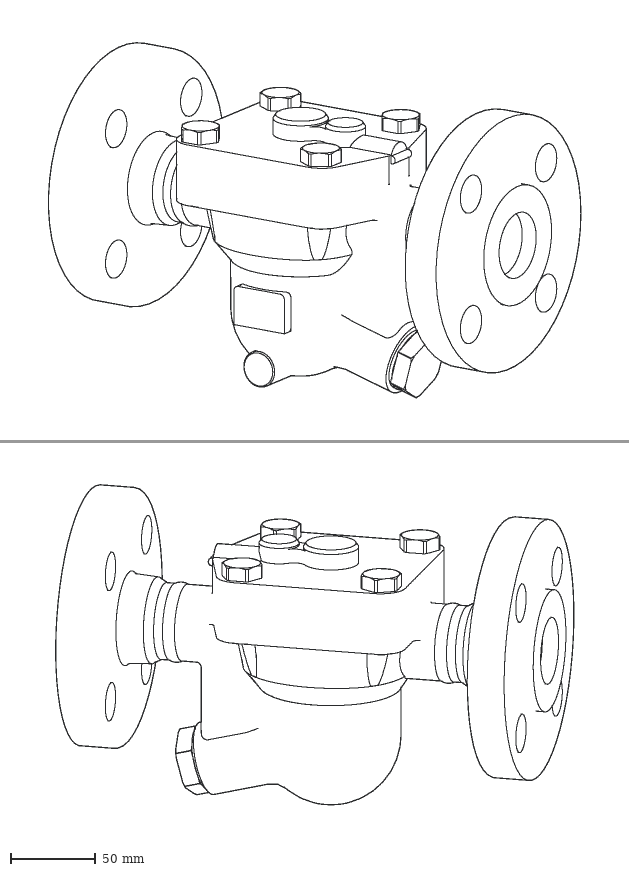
import cadquery as cq
import math


inlet_face_x = -135.0
face_to_face = 290.0
outlet_face_x = inlet_face_x + face_to_face
flange_radius = 78.0
flange_thickness = 23.5
flange_edge_round = 3.0
raised_face_radius = 36.5
raised_face_height = 6.5
raised_face_cove = 1.5
flange_hole_diameter = 23.0
flange_hole_offset = 40.4
port_radius = 20.0
port_depth = 10.0
pipe_radius = 23.0
neck_cove = 1.5
neck_cove_sweep = 5.0
neck_root_radius = 26.8
neck_end_radius = 26.0
neck_root_x = 33.4
neck_end_x = 46.3
neck_step_x = 51.8
bead_start_x = 57.3
bead_end_x = 64.7
bead_height = 1.0

head_half_width = 57.5
head_corner_radius = 15.0
head_right_arc_x = 43.5
head_taper_angle = 19.0
head_nose_x = 70.3
head_bottom_z = 6.8
head_joint_z = 26.8
head_top_z = 44.4
pipe_root_cove = 3.5

bolt_offset = 43.0
bolt_flats = 22.0
bolt_head_height = 8.3
bolt_round_radius = 12.2
bolt_chamfer = 1.2
bolt_chamfer_height = 0.7
hexagon_half_step = 30.0
bolt_groove_radius = 8.7
stud_radius = 7.0
stud_end_z = 4.4

cover_boss_height = 12.0
main_boss_radius = 16.5
side_boss_radius = 12.0
side_boss_x = 32.0
boss_chamfer = 1.6
boss_chamfer_height = 2.4
bridge_top_z = 53.0
bridge_cove = 7.25
channel_radius = 8.8
channel_z = 41.5
nose_bar_radius = 2.4
nose_bar_x = 71.0

bowl_radius = 41.8
bowl_centre_z = -62.5
shoulder_base_z = -32.3
shoulder_z = -19.0
shoulder_half_width = 50.4
shoulder_half_diagonal = 52.5
waist_z = -7.0
waist_half_width = 51.2
waist_half_diagonal = 55.2
waist_top_half_width = 53.4
waist_top_half_diagonal = 58.2

branch_angle = 15.0
branch_radius = 22.0
branch_length = 79.3
branch_cove = 18.0
branch_end_z = bowl_centre_z - branch_length * math.sin(math.radians(branch_angle))
gasket_radius = 19.0
gasket_thickness = 2.2
branch_hex_flats = 36.0
branch_hex_thickness = 10.3
branch_hex_round_radius = 20.7

rib_half_width = 16.5
rib_start_x = 22.0
rib_end_x = 77.0
rib_end_round = 6.0
rib_root_radius = 15.0
rib_root_bottom_z = -72.0
rib_top_cove = 4.0

pad_width = 36.0
pad_top_z = -41.9
pad_bottom_z = -66.0
pad_face_y = -44.7
pad_depth = 7.0
pad_corner_round = 3.0
drain_z = -90.8
drain_radius = 11.0
drain_face_y = -45.4
drain_chamfer = 0.8
drain_root_cove = 2.5

margin = 1.0


def turned_upright(half_profile):
    """Revolve a half-profile drawn on the XZ plane about the vertical axis."""
    return half_profile.close().revolve(360, (0, 0, 0), (0, 1, 0))


def chamfered_post(radius, bottom, top, chamfer, chamfer_height):
    """Upright cylinder with a conical top edge."""
    return turned_upright(
        cq.Workplane("XZ")
        .moveTo(0, bottom)
        .lineTo(radius, bottom)
        .lineTo(radius, top - chamfer_height)
        .lineTo(radius - chamfer, top)
        .lineTo(0, top)
    )


def hexagon_head(flats, height, round_radius):
    """Hexagon prism standing on z = 0 with its top corners turned down."""
    corners = flats / math.cos(math.pi / 6)
    prism = cq.Workplane("XY").polygon(6, corners).extrude(height)
    envelope = chamfered_post(round_radius, 0, height, bolt_chamfer, bolt_chamfer_height)
    return prism.intersect(envelope)


def pipe_end(length):
    """Flanged pipe end along +X, raised face at x = 0, running to x = length."""
    flange_front = raised_face_height
    flange_back = flange_front + flange_thickness
    bead_middle = (bead_start_x + bead_end_x) / 2
    end = (
        cq.Workplane("XY")
        .lineTo(0, raised_face_radius)
        .lineTo(flange_front - raised_face_cove, raised_face_radius)
        .radiusArc((flange_front, raised_face_radius + raised_face_cove), -raised_face_cove)
        .lineTo(flange_front, flange_radius)
        .lineTo(flange_back - flange_edge_round, flange_radius)
        .radiusArc((flange_back, flange_radius - flange_edge_round), flange_edge_round)
        .lineTo(flange_back, neck_root_radius + neck_cove)
        .radiusArc((neck_root_x, neck_root_radius), -neck_cove_sweep)
        .lineTo(neck_end_x, neck_end_radius)
        .lineTo(neck_step_x, pipe_radius)
        .lineTo(bead_start_x, pipe_radius)
        .threePointArc((bead_middle, pipe_radius + bead_height), (bead_end_x, pipe_radius))
        .lineTo(length, pipe_radius)
        .lineTo(length, 0)
        .close()
        .revolve(360, (0, 0, 0), (1, 0, 0))
    )
    bolt_holes = (
        cq.Workplane("YZ")
        .rect(2 * flange_hole_offset, 2 * flange_hole_offset, forConstruction=True)
        .vertices()
        .circle(flange_hole_diameter / 2)
        .extrude(flange_back)
    )
    port = cq.Workplane("YZ").circle(port_radius).extrude(port_depth)
    return end.cut(bolt_holes).cut(port)


def head_block(bottom, top):
    """Plate of the head: square on the inlet side, tapered to a nose on the outlet side."""
    taper = math.radians(head_taper_angle)
    arc_y = head_half_width - head_corner_radius
    arc_end_x = head_right_arc_x + head_corner_radius * math.cos(taper)
    arc_end_y = arc_y + head_corner_radius * math.sin(taper)
    nose_y = arc_end_y - (head_nose_x - arc_end_x) / math.tan(taper)
    mid_angle = (taper + math.pi / 2) / 2
    arc_mid_x = head_right_arc_x + head_corner_radius * math.cos(mid_angle)
    arc_mid_y = arc_y + head_corner_radius * math.sin(mid_angle)
    return (
        cq.Workplane("XY", origin=(0, 0, bottom))
        .moveTo(-head_half_width, -head_half_width)
        .lineTo(head_right_arc_x, -head_half_width)
        .threePointArc((arc_mid_x, -arc_mid_y), (arc_end_x, -arc_end_y))
        .lineTo(head_nose_x, -nose_y)
        .lineTo(head_nose_x, nose_y)
        .lineTo(arc_end_x, arc_end_y)
        .threePointArc((arc_mid_x, arc_mid_y), (head_right_arc_x, head_half_width))
        .lineTo(-head_half_width, head_half_width)
        .close()
        .extrude(top - bottom)
        .edges("|Z and <X")
        .fillet(head_corner_radius)
    )


def pipe_run():
    """Body flange joined to both pipes, with coves where the pipes enter it."""
    inlet = pipe_end(-inlet_face_x).translate((inlet_face_x, 0, 0))
    outlet = pipe_end(outlet_face_x).mirror("YZ").translate((outlet_face_x, 0, 0))
    run = head_block(head_bottom_z, head_joint_z).union(inlet).union(outlet)
    pipe_roots = cq.selectors.BoxSelector(
        (-head_half_width - margin, -pipe_radius - margin, head_bottom_z + margin),
        (head_nose_x + margin, pipe_radius + margin, pipe_radius + margin),
    )
    return run.edges(pipe_roots).fillet(pipe_root_cove)


def boss_bridge():
    """Web between the two cover bosses, with concave sides tangent to both."""
    main_reach = main_boss_radius + bridge_cove
    side_reach = side_boss_radius + bridge_cove
    cove_x = (side_boss_x**2 + main_reach**2 - side_reach**2) / (2 * side_boss_x)
    cove_y = math.sqrt(main_reach**2 - cove_x**2)
    main_x = cove_x * main_boss_radius / main_reach
    main_y = cove_y * main_boss_radius / main_reach
    side_x = side_boss_x + (cove_x - side_boss_x) * side_boss_radius / side_reach
    side_y = cove_y * side_boss_radius / side_reach
    waist_y = cove_y - bridge_cove
    return (
        cq.Workplane("XY", origin=(0, 0, head_joint_z))
        .moveTo(main_x, -main_y)
        .threePointArc((cove_x, -waist_y), (side_x, -side_y))
        .lineTo(side_x, side_y)
        .threePointArc((cove_x, waist_y), (main_x, main_y))
        .close()
        .extrude(bridge_top_z - head_joint_z)
    )


def cover():
    """Cover plate with its bolts, bosses and outlet-side channel."""
    body = head_block(head_joint_z, head_top_z)
    bolt = hexagon_head(bolt_flats, bolt_head_height, bolt_round_radius)
    for x_sign, y_sign in ((-1, -1), (-1, 1), (1, -1), (1, 1)):
        turn = 0 if x_sign == y_sign else hexagon_half_step
        placed = bolt.rotate((0, 0, 0), (0, 0, 1), turn)
        body = body.union(placed.translate((x_sign * bolt_offset, y_sign * bolt_offset, head_top_z)))
    boss_top = head_top_z + cover_boss_height
    main_boss = chamfered_post(main_boss_radius, head_joint_z, boss_top, boss_chamfer, boss_chamfer_height)
    side_boss = chamfered_post(side_boss_radius, head_joint_z, boss_top, boss_chamfer, boss_chamfer_height)
    channel = (
        cq.Workplane("YZ", origin=(side_boss_x, 0, channel_z))
        .circle(channel_radius)
        .extrude(head_nose_x - side_boss_x)
    )
    nose_bar = (
        cq.Workplane("XZ", origin=(nose_bar_x, 0, channel_z))
        .circle(nose_bar_radius)
        .extrude(channel_radius, both=True)
    )
    body = body.union(main_boss).union(side_boss.translate((side_boss_x, 0, 0)))
    return body.union(boss_bridge()).union(channel).union(nose_bar)


def rounded_square(half_width, half_diagonal, z):
    """Smooth closed outline, half_width across the sides and half_diagonal at the corners."""
    corner = half_diagonal * math.sqrt(0.5)
    points = [
        (half_width, 0),
        (corner, corner),
        (0, half_width),
        (-corner, corner),
        (-half_width, 0),
        (-corner, -corner),
        (0, -half_width),
        (corner, -corner),
    ]
    return cq.Wire.assembleEdges(
        [cq.Edge.makeSpline([cq.Vector(x, y, z) for x, y in points], periodic=True)]
    )


def waist():
    """Rounded-square shoulder and neck between the bowl and the head."""
    shoulder_base = rounded_square(bowl_radius, bowl_radius, shoulder_base_z)
    shoulder_top = rounded_square(shoulder_half_width, shoulder_half_diagonal, shoulder_z)
    middle = rounded_square(waist_half_width, waist_half_diagonal, waist_z)
    top = rounded_square(waist_top_half_width, waist_top_half_diagonal, head_bottom_z)
    shoulder = cq.Solid.makeLoft([shoulder_base, shoulder_top], True)
    neck = cq.Solid.makeLoft([shoulder_top, middle, top], False)
    return cq.Workplane(shoulder).union(neck)


def at_bolts(radius, bottom, top):
    """Upright cylinders on the four bolt axes."""
    return (
        cq.Workplane("XY", origin=(0, 0, bottom))
        .rect(2 * bolt_offset, 2 * bolt_offset, forConstruction=True)
        .vertices()
        .circle(radius)
        .extrude(top - bottom)
    )


def relieved_waist():
    """Waist with upright clearance grooves around the bolts."""
    return waist().cut(at_bolts(bolt_groove_radius, shoulder_z, head_bottom_z))


def bowl():
    """Turned lower body: cylinder with a spherical bottom."""
    diagonal = bowl_radius * math.sqrt(0.5)
    return turned_upright(
        cq.Workplane("XZ")
        .moveTo(0, shoulder_base_z)
        .lineTo(bowl_radius, shoulder_base_z)
        .lineTo(bowl_radius, bowl_centre_z)
        .threePointArc((diagonal, bowl_centre_z - diagonal), (0, bowl_centre_z - bowl_radius))
    )


def rib_core(run):
    """Round-cornered upright rib under the outlet pipe, added to the pipe run with a cove."""
    slab = (
        cq.Workplane("XY", origin=(0, 0, branch_end_z))
        .moveTo((rib_start_x + rib_end_x) / 2, 0)
        .rect(rib_end_x - rib_start_x, 2 * rib_half_width)
        .extrude(-branch_end_z)
        .edges("|Z")
        .fillet(rib_end_round)
    )
    top_edges = cq.selectors.BoxSelector(
        (rib_start_x - margin, -rib_half_width - margin, -pipe_radius - margin),
        (rib_end_x + margin, rib_half_width + margin, head_bottom_z - margin),
    )
    return run.union(slab).edges(top_edges).edges("not |Z").fillet(rib_top_cove)


def rib_root():
    """Flare that blends the sides of the rib into the cylinder of the bowl."""
    root_centre_y = rib_half_width + rib_root_radius
    root_distance = bowl_radius + rib_root_radius
    root_centre_x = math.sqrt(root_distance**2 - root_centre_y**2)
    bowl_x = root_centre_x * bowl_radius / root_distance
    bowl_y = root_centre_y * bowl_radius / root_distance
    mid_angle = (math.atan2(root_centre_y, root_centre_x) + math.pi / 2) / 2
    mid_x = root_centre_x - rib_root_radius * math.cos(mid_angle)
    mid_y = root_centre_y - rib_root_radius * math.sin(mid_angle)
    return (
        cq.Workplane("XY", origin=(0, 0, rib_root_bottom_z))
        .moveTo(0, -bowl_y)
        .lineTo(bowl_x, -bowl_y)
        .threePointArc((mid_x, -mid_y), (root_centre_x, -rib_half_width))
        .lineTo(root_centre_x, rib_half_width)
        .threePointArc((mid_x, mid_y), (bowl_x, bowl_y))
        .lineTo(0, bowl_y)
        .close()
        .extrude(-rib_root_bottom_z)
    )


def branch_frame(distance):
    """Workplane square to the branch axis, at a distance from the bowl centre."""
    angle = math.radians(branch_angle)
    direction = cq.Vector(math.cos(angle), 0, -math.sin(angle))
    origin = cq.Vector(0, 0, bowl_centre_z) + direction * distance
    return cq.Workplane(cq.Plane(origin, xDir=(0, 1, 0), normal=direction))


def branch():
    """Plain inclined cylinder of the strainer branch."""
    return branch_frame(0).circle(branch_radius).extrude(branch_length)


def branch_plug():
    """Gasket collar and hexagon plug closing the branch."""
    collar = branch_frame(branch_length).circle(gasket_radius).extrude(gasket_thickness)
    head = hexagon_head(branch_hex_flats, branch_hex_thickness, branch_hex_round_radius)
    head = head.rotate((0, 0, 0), (0, 0, 1), hexagon_half_step)
    location = cq.Location(branch_frame(branch_length + gasket_thickness).plane)
    return collar.union(head.val().moved(location))


def name_pad():
    """Raised rectangular pad on the front of the bowl, with rounded upper corners."""
    height = pad_top_z - pad_bottom_z
    return (
        cq.Workplane("XZ", origin=(0, pad_face_y, (pad_top_z + pad_bottom_z) / 2))
        .rect(pad_width, height)
        .extrude(-pad_depth)
        .edges("|Y and >Z")
        .fillet(pad_corner_round)
    )


def drain_plug():
    """Stub on the front of the spherical bottom."""
    return (
        cq.Workplane("XZ", origin=(0, drain_face_y, drain_z))
        .circle(drain_radius)
        .extrude(drain_face_y)
        .faces("<Y")
        .chamfer(drain_chamfer)
    )


def lower_body():
    """Bowl with its drain stub and branch, each run into the bowl with a cove."""
    drain_root = cq.selectors.BoxSelector(
        (-drain_radius - margin, drain_face_y + 2 * margin, drain_z - drain_radius - margin),
        (drain_radius + margin, -margin, drain_z + drain_radius + margin),
    )
    branch_root = cq.selectors.BoxSelector(
        (branch_radius - margin, -branch_radius - margin, bowl_centre_z - bowl_radius),
        (bowl_radius + margin, branch_radius + margin, bowl_centre_z + branch_radius),
    )
    body = bowl().union(drain_plug()).edges(drain_root).fillet(drain_root_cove)
    return body.union(branch()).edges(branch_root).fillet(branch_cove)


result = (
    rib_core(pipe_run())
    .union(relieved_waist())
    .union(at_bolts(stud_radius, stud_end_z, head_joint_z))
    .union(rib_root())
    .union(lower_body())
    .union(branch_plug())
    .union(name_pad())
    .union(cover(), clean=False)
)